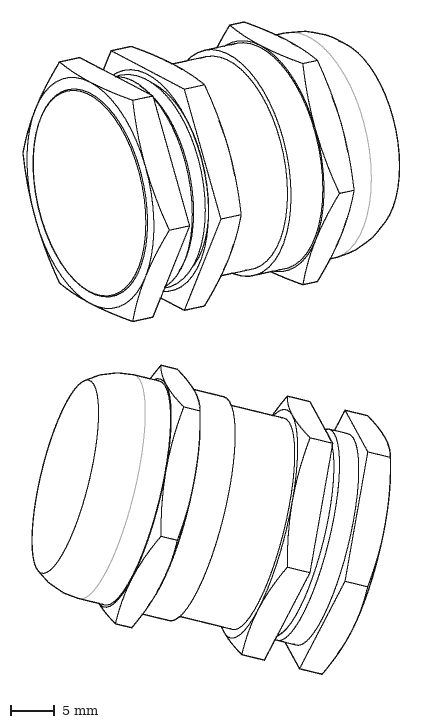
import cadquery as cq
import math

total_length = 35.0
body_radius = 25.0 / 2
cap_radius = 26.5 / 2

hex_across_flats = 27.0
hex_width = 3.55
hex_corner_drop = 0.77

end_disc_height = 0.15
collar_front = end_disc_height + hex_width
collar_back = 6.02
seal_back = 7.95
cap_front = 19.0
cap_hex_front = 23.35
dome_start = 29.95

end_disc_radius = 24.3 / 2

seal_section_radius = 0.88
seal_center = 7.3
neck_radius = body_radius - seal_section_radius

recess_radius = 12.95
recess_depth = 0.88

dome_end_radius = 22.82 / 2


def cylinder(radius, start, end):
    """Solid round section on the Y axis from start to end."""
    return cq.Workplane("XZ", origin=(0, start, 0)).circle(radius).extrude(start - end)


def revolve_about_y(profile):
    return profile.close().revolve(360, (0, 0, 0), (0, 1, 0))


def hexagon(start, chamfer_front, chamfer_back):
    """Hexagon with corners on X, its chosen faces chamfered by a cone that meets the flats."""
    end = start + hex_width
    flat_radius = hex_across_flats / 2
    corner_radius = flat_radius / math.cos(math.pi / 6)
    front_drop = hex_corner_drop if chamfer_front else 0
    back_drop = hex_corner_drop if chamfer_back else 0
    prism = (
        cq.Workplane("XZ", origin=(0, start, 0))
        .polygon(6, 2 * corner_radius)
        .extrude(-hex_width)
    )
    front_radius = flat_radius if chamfer_front else corner_radius
    back_radius = flat_radius if chamfer_back else corner_radius
    outline = cq.Workplane("XY").moveTo(0, start).lineTo(front_radius, start)
    if chamfer_front:
        outline = outline.lineTo(corner_radius, start + front_drop)
    outline = outline.lineTo(corner_radius, end - back_drop)
    if chamfer_back:
        outline = outline.lineTo(back_radius, end)
    return prism.intersect(revolve_about_y(outline.lineTo(0, end)))


def end_disc():
    """Thin disc with a bevelled rim, standing proud of the end hexagon."""
    disc = cylinder(end_disc_radius, 0, collar_front)
    return disc.faces("<Y").chamfer(end_disc_height)


def collar():
    """Threaded collar with a 45 degree bevel leading down to the neck."""
    bevel = body_radius - neck_radius
    return revolve_about_y(
        cq.Workplane("XY")
        .moveTo(0, collar_front)
        .lineTo(body_radius, collar_front)
        .lineTo(body_radius, collar_back)
        .lineTo(neck_radius, collar_back + bevel)
        .lineTo(neck_radius, seal_back)
        .lineTo(0, seal_back)
    )


def sealing_ring():
    """Solid round section with the outer half of the sealing ring as its rim."""
    seal_start = seal_center - seal_section_radius
    seal_end = seal_center + seal_section_radius
    return revolve_about_y(
        cq.Workplane("XY")
        .moveTo(0, seal_start)
        .lineTo(neck_radius, seal_start)
        .threePointArc((body_radius, seal_center), (neck_radius, seal_end))
        .lineTo(0, seal_end)
    )


def middle_hexagon():
    """Hexagon behind the sealing ring, with a conical recess down to the neck in its front face."""
    recess = revolve_about_y(
        cq.Workplane("XY")
        .moveTo(0, seal_back)
        .lineTo(recess_radius, seal_back)
        .lineTo(neck_radius, seal_back + recess_depth)
        .lineTo(0, seal_back + recess_depth)
    )
    return hexagon(seal_back, chamfer_front=False, chamfer_back=True).cut(recess)


def cap():
    """Round cap ending in a dome tangent to its side and cut off flat."""
    dome_length = total_length - dome_start
    dome_drop = cap_radius - dome_end_radius
    arc_radius = (dome_length**2 + dome_drop**2) / (2 * dome_drop)
    half_angle = math.asin(dome_length / arc_radius) / 2
    arc_middle = (
        cap_radius - arc_radius * (1 - math.cos(half_angle)),
        dome_start + arc_radius * math.sin(half_angle),
    )
    return revolve_about_y(
        cq.Workplane("XY")
        .moveTo(0, cap_front)
        .lineTo(cap_radius, cap_front)
        .lineTo(cap_radius, dome_start)
        .threePointArc(arc_middle, (dome_end_radius, total_length))
        .lineTo(0, total_length)
    )


result = (
    end_disc()
    .union(hexagon(end_disc_height, chamfer_front=True, chamfer_back=False))
    .union(collar())
    .union(cylinder(neck_radius, seal_back, seal_back + recess_depth))
    .union(sealing_ring())
    .union(middle_hexagon())
    .union(cylinder(body_radius, seal_back + recess_depth, cap_front))
    .union(cap())
    .union(hexagon(cap_hex_front, chamfer_front=True, chamfer_back=True))
)